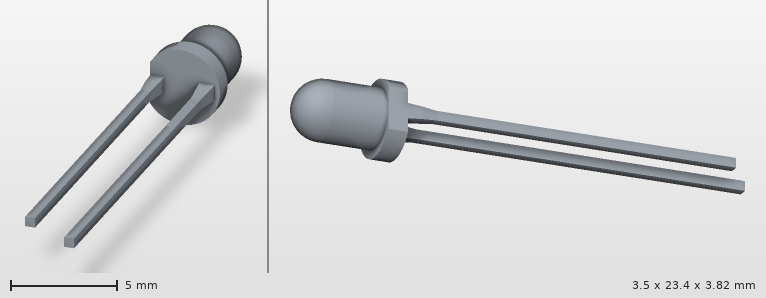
import cadquery as cq

lens_radius = 1.5
lens_straight_length = 2.7
flange_radius = 1.91
flange_thickness = 1.0
flange_width = 3.5
flat_x = flange_radius - flange_width

overall_length = 23.45
lead_pitch = 2.53
lead_width = 0.5
root_width = 0.77
root_length = 1.48
lead_length_difference = 1.52

head_length = flange_thickness + lens_straight_length + lens_radius
long_lead_length = overall_length - head_length
short_lead_length = long_lead_length - lead_length_difference

lead_layout = [
    (-lead_pitch / 2, short_lead_length),
    (lead_pitch / 2, long_lead_length),
]


def make_flange():
    """Round disc from Y = 0 towards +Y."""
    return cq.Workplane("XZ").circle(flange_radius).extrude(-flange_thickness)


def make_lens():
    """Cylinder with a hemispherical dome on top of the flange."""
    dome_start = flange_thickness + lens_straight_length
    return (
        cq.Workplane("XY")
        .moveTo(0, flange_thickness)
        .lineTo(lens_radius, flange_thickness)
        .lineTo(lens_radius, dome_start)
        .radiusArc((0, head_length), -lens_radius)
        .close()
        .revolve(360, (0, 0, 0), (0, 1, 0))
    )


def make_root(center_x):
    """Square root that tapers from the flange down to the lead."""
    return (
        cq.Workplane("XZ")
        .center(center_x, 0)
        .rect(root_width, root_width)
        .workplane(offset=root_length)
        .rect(lead_width, lead_width)
        .loft(ruled=True)
    )


def make_housing():
    """Flange, lens and roots as one body, with a flat shared by the flange and the -X root."""
    body = make_flange().union(make_lens())
    for center_x, _ in lead_layout:
        body = body.union(make_root(center_x))
    cutter_size = 2 * overall_length
    beyond_flat = (
        cq.Workplane("XY")
        .box(cutter_size, cutter_size, cutter_size)
        .translate((flat_x - cutter_size / 2, 0, 0))
    )
    return body.cut(beyond_flat)


def make_lead(center_x, length):
    """Square wire from the root tip to the given distance below the flange."""
    return (
        cq.Workplane("XZ", origin=(center_x, -root_length, 0))
        .rect(lead_width, lead_width)
        .extrude(length - root_length)
    )


housing = make_housing()
leads = [make_lead(center_x, length) for center_x, length in lead_layout]

result = cq.Compound.makeCompound([housing.val(), *[lead.val() for lead in leads]])